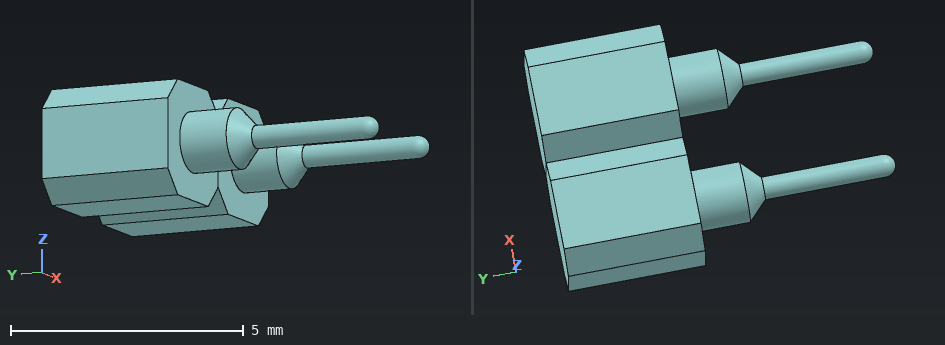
import cadquery as cq

total_length = 7.4
unit_count = 2
pitch = 2.54

block_width = 2.54
block_height = 2.54
block_length = 3.0
corner_cut = 0.5

collar_radius = 0.665
collar_length = 1.1
cone_length = 0.41
pin_radius = 0.25
tip_length = pin_radius

block_back_y = total_length / 2
block_front_y = block_back_y - block_length
collar_end_y = block_front_y - collar_length
cone_end_y = collar_end_y - cone_length
tip_end_y = -total_length / 2
tip_start_y = tip_end_y + tip_length


def make_block():
    """Block along Y with its four long edges chamfered."""
    return (
        cq.Workplane("XY")
        .box(block_width, block_length, block_height)
        .edges("|Y")
        .chamfer(corner_cut)
        .translate((0, block_front_y + block_length / 2, 0))
    )


def make_pin():
    """Collar, cone, thin shank and hemispherical tip, revolved about Y."""
    arc_offset = pin_radius * 0.5 ** 0.5
    return (
        cq.Workplane("XY")
        .moveTo(0, block_front_y)
        .lineTo(collar_radius, block_front_y)
        .lineTo(collar_radius, collar_end_y)
        .lineTo(pin_radius, cone_end_y)
        .lineTo(pin_radius, tip_start_y)
        .threePointArc((arc_offset, tip_start_y - arc_offset), (0, tip_end_y))
        .close()
        .revolve(360, (0, 0, 0), (0, 1, 0))
    )


def make_contact_unit(x):
    """One block with its pin, as a single solid centred at the given X."""
    return make_block().union(make_pin()).translate((x, 0, 0))


contact_units = []
for index in range(unit_count):
    unit_x = (index - (unit_count - 1) / 2) * pitch
    contact_units.append(make_contact_unit(unit_x).val())

result = cq.Compound.makeCompound(
    [solid for unit in contact_units for solid in unit.Solids()]
)